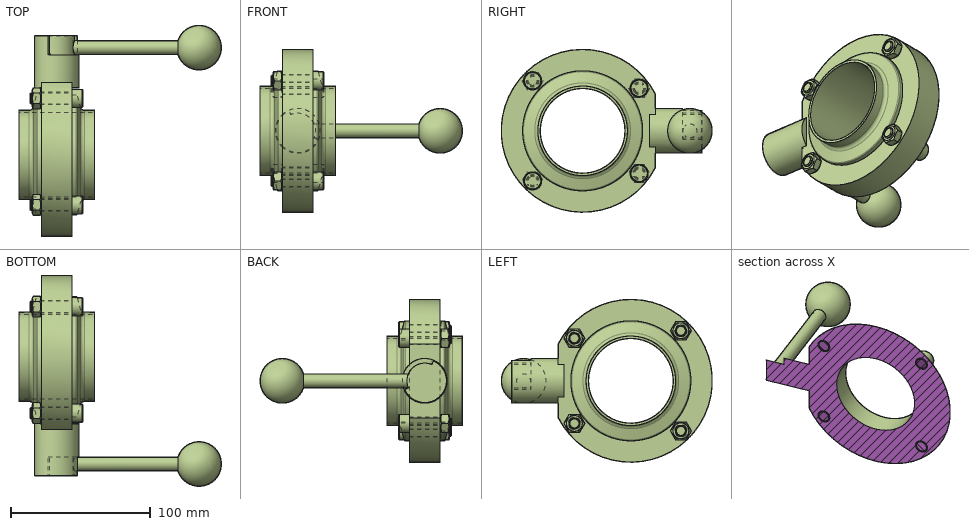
import cadquery as cq
import math


flange_radius = 58.4
flange_half_width = 11.0
flange_flat_y = 52.0
collar_diameter = 86.0
collar_half_width = 14.5
collar_round = 0.9
cone_angle = 15
neck_fillet = 3.0
pipe_diameter = 64.1
pipe_half_length = 27.1
bore_diameter = 60.5

hub_diameter = 32.0
hub_start_y = 48.0
hub_end_y = 85.6
hub_chamfer = 0.5
core_diameter = 25.4

window_start_y = 71.7
window_margin_angle = 23.5
window_corner_radius = 1.0
lever_swing = 90

lever_y = 76.8
rod_diameter = 10.0
ball_diameter = 32.0
ball_x = 102.0

screw_circle_radius = 50.7
screw_angles = [37, 135, 225, 323]
screw_diameter = 8.0
screw_hole_diameter = 9.0
screw_tip_length = 8.2
screw_tip_chamfer = 0.8
head_diameter = 13.0
head_height = 7.7
head_chamfer = 0.6
nut_width = 13.0
nut_height = 6.8
nut_face_diameter = 11.3
nut_chamfer_angle = 30


def screw_places(radius, angles):
    """(y, z) of each screw on the screw circle; angles are measured from +Y towards +Z."""
    return [
        (radius * math.cos(math.radians(angle)), radius * math.sin(math.radians(angle)))
        for angle in angles
    ]


def x_cylinder(diameter, x_start, x_end, y=0, z=0):
    return cq.Workplane("YZ", origin=(x_start, y, z)).circle(diameter / 2).extrude(x_end - x_start)


def y_cylinder(diameter, y_start, y_end):
    return cq.Workplane("XZ", origin=(0, y_start, 0)).circle(diameter / 2).extrude(y_start - y_end)


def make_flange():
    """Both clamped flanges: one disc with a flat on the stem side."""
    disc = x_cylinder(2 * flange_radius, -flange_half_width, flange_half_width)
    beyond_flat = cq.Workplane("XY").box(
        2 * flange_half_width, flange_radius, 2 * flange_radius, centered=(True, False, True)
    )
    return disc.cut(beyond_flat.translate((0, flange_flat_y, 0)))


def make_pipe():
    """Pipe ends that widen through a filleted cone to a collar against each flange."""
    collar_radius = collar_diameter / 2
    pipe_radius = pipe_diameter / 2
    cone_rise = (collar_radius - pipe_radius) * math.tan(math.radians(cone_angle))
    neck_x = collar_half_width + cone_rise
    half = (
        cq.Workplane("XY")
        .polyline([
            (0, 0),
            (0, collar_radius),
            (collar_half_width, collar_radius),
            (neck_x, pipe_radius),
            (pipe_half_length, pipe_radius),
            (pipe_half_length, 0),
        ])
        .close()
        .revolve(360, (0, 0, 0), (1, 0, 0))
    )
    half = half.edges(cq.selectors.RadiusNthSelector(0)).edges("<X").fillet(neck_fillet)
    half = half.edges(cq.selectors.RadiusNthSelector(-1)).edges(">X").fillet(collar_round)
    return half.union(half.mirror("YZ"))


def make_window():
    """Ring sector cut out of the hub wall down to the core, open at the hub's end."""
    reach = hub_diameter
    first = math.radians(-window_margin_angle)
    middle = math.radians(lever_swing / 2)
    last = math.radians(lever_swing + window_margin_angle)
    sector = (
        cq.Workplane("XZ", origin=(0, window_start_y, 0))
        .lineTo(reach * math.cos(first), reach * math.sin(first))
        .threePointArc(
            (reach * math.cos(middle), reach * math.sin(middle)),
            (reach * math.cos(last), reach * math.sin(last)),
        )
        .close()
        .extrude(window_start_y - hub_end_y)
    )
    sector = sector.faces("<Y").edges("%LINE").fillet(window_corner_radius)
    return sector.cut(y_cylinder(core_diameter, window_start_y, hub_end_y))


def make_hub():
    hub = y_cylinder(hub_diameter, hub_start_y, hub_end_y)
    hub = hub.faces(">Y").chamfer(hub_chamfer)
    return hub.cut(make_window())


def make_lever():
    rod = x_cylinder(rod_diameter, 0, ball_x, y=lever_y)
    ball = cq.Workplane("XY", origin=(ball_x, lever_y, 0)).sphere(ball_diameter / 2)
    return rod.union(ball)


def make_valve():
    """Flanges, pipe, hub and lever in one solid, with clearance holes for the screws."""
    valve = make_flange().union(make_pipe())
    valve = valve.cut(x_cylinder(bore_diameter, -pipe_half_length, pipe_half_length))
    valve = valve.union(make_hub()).union(make_lever())
    for y, z in screw_places(screw_circle_radius, screw_angles):
        hole = x_cylinder(screw_hole_diameter, -flange_half_width, flange_half_width, y, z)
        valve = valve.cut(hole)
    return valve


def make_nut():
    """Hexagon along X with both faces chamfered by a cone; two flats are parallel to XY."""
    corner_diameter = nut_width / math.cos(math.radians(30))
    corner_radius = corner_diameter / 2
    face_radius = nut_face_diameter / 2
    drop = (corner_radius - face_radius) * math.tan(math.radians(nut_chamfer_angle))
    hexagon = cq.Workplane("YZ").polygon(6, corner_diameter).extrude(nut_height)
    chamfered_round = (
        cq.Workplane("XY")
        .polyline([
            (0, 0),
            (0, face_radius),
            (drop, corner_radius),
            (nut_height - drop, corner_radius),
            (nut_height, face_radius),
            (nut_height, 0),
        ])
        .close()
        .revolve(360, (0, 0, 0), (1, 0, 0))
    )
    return hexagon.intersect(chamfered_round)


def make_fastener(y, z):
    """Screw with its nut: the head sits on the +X flange face, the nut on the -X face."""
    head = x_cylinder(head_diameter, flange_half_width, flange_half_width + head_height)
    head = head.faces(">X").chamfer(head_chamfer)
    shank = x_cylinder(screw_diameter, -flange_half_width - screw_tip_length, flange_half_width)
    shank = shank.faces("<X").chamfer(screw_tip_chamfer)
    nut = make_nut().translate((-flange_half_width - nut_height, 0, 0))
    return head.union(shank).union(nut).translate((0, y, z))


valve = make_valve()
fasteners = [make_fastener(y, z) for y, z in screw_places(screw_circle_radius, screw_angles)]

result = cq.Compound.makeCompound([valve.val(), *[fastener.val() for fastener in fasteners]])